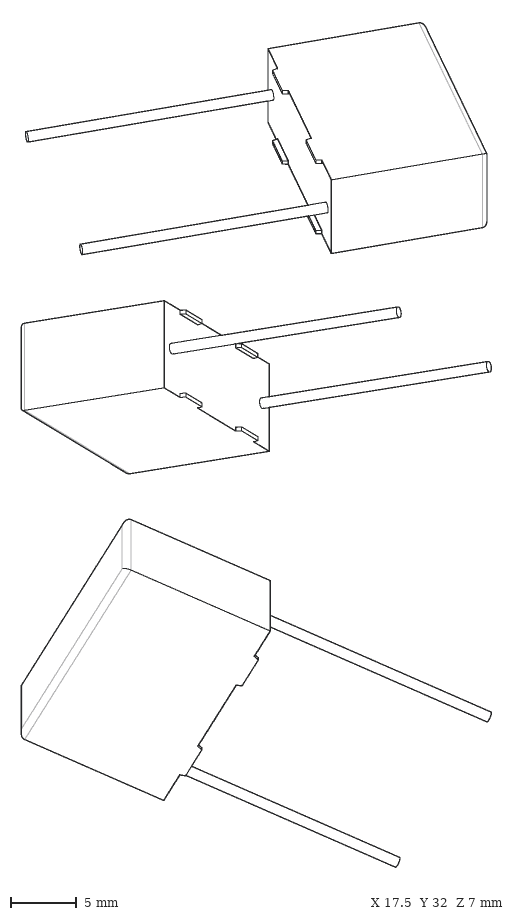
import cadquery as cq


overall_length = 32.0
housing_width = 17.5
capacitor_length = 12.5
housing_height = 7.0
rear_edge_radius = 0.5

plate_thickness = 0.03

lead_diameter = 0.83
lead_spacing = 15.0

foot_spacing = 9.28
foot_base_width = 2.98
foot_tip_width = 2.7
foot_projection = 0.4
foot_thickness = 0.32

lead_length = overall_length - capacitor_length
housing_length = capacitor_length - plate_thickness
half_height = housing_height / 2
mirrored_sides = (-1, 1)


def make_foot(center_x, bottom_z):
    """Tapered foot rooted in the front of the housing box, its underside at bottom_z."""
    half_base = foot_base_width / 2
    half_tip = foot_tip_width / 2
    return (
        cq.Workplane("XY", origin=(center_x, 0, bottom_z))
        .moveTo(-half_base, plate_thickness)
        .lineTo(half_base, plate_thickness)
        .lineTo(half_tip, -foot_projection)
        .lineTo(-half_tip, -foot_projection)
        .close()
        .extrude(foot_thickness)
    )


def make_feet():
    """Pair of feet along the top edge and pair along the bottom edge."""
    feet = []
    for side in mirrored_sides:
        for bottom_z in (-half_height, half_height - foot_thickness):
            feet.append(make_foot(side * foot_spacing / 2, bottom_z))
    return feet


def make_housing():
    """Box with a rounded rear rim and four feet on its front."""
    body = (
        cq.Workplane("XY", origin=(0, plate_thickness, 0))
        .box(housing_width, housing_length, housing_height, centered=(True, False, True))
        .faces(">Y")
        .edges()
        .fillet(rear_edge_radius)
    )
    for foot in make_feet():
        body = body.union(foot)
    return body


def make_sealing_plate():
    """Thin plate over the front of the housing, notched where the feet pass through."""
    plate = cq.Workplane("XY").box(
        housing_width, plate_thickness, housing_height, centered=(True, False, True)
    )
    for foot in make_feet():
        plate = plate.cut(foot)
    return plate


def make_lead(center_x):
    """Straight round wire that starts flush on the sealing plate."""
    return (
        cq.Workplane("XZ", origin=(center_x, 0, 0))
        .circle(lead_diameter / 2)
        .extrude(lead_length)
    )


housing = make_housing()
sealing_plate = make_sealing_plate()

leads = []
for side in mirrored_sides:
    leads.append(make_lead(side * lead_spacing / 2).val())

result = cq.Compound.makeCompound([housing.val(), sealing_plate.val(), *leads])